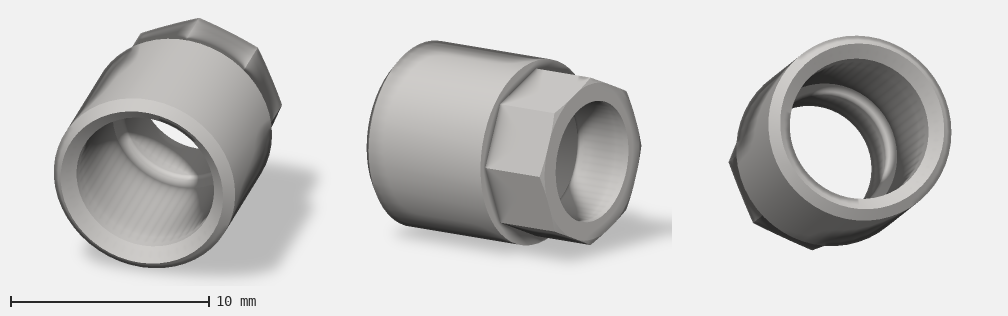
import cadquery as cq
import math

length = 11.0
body_diameter = 9.5
body_length = 7.5
body_chamfer = 0.5

head_sides = 8
head_across_flats = 8.02
head_corner_diameter = head_across_flats / math.cos(math.pi / head_sides)
head_chamfer_depth = 0.1
head_chamfer_angle = 18.0

bore_diameter = 6.2
counterbore_diameter = 7.2
counterbore_depth = body_length
shoulder_angle = 60.0
shoulder_round = 0.31
mouth_angle = 45.0


def revolve_about_y(points):
    """Revolve a closed (radius, y) outline about the Y axis."""
    return cq.Workplane("XY").polyline(points).close().revolve(360, (0, 0, 0), (0, 1, 0))


def make_body():
    radius = body_diameter / 2
    return revolve_about_y([
        (0, 0),
        (radius - body_chamfer, 0),
        (radius, body_chamfer),
        (radius, body_length),
        (0, body_length),
    ])


def make_head():
    octagon = (
        cq.Workplane("XZ", origin=(0, length, 0))
        .polygon(head_sides, head_corner_diameter)
        .extrude(length - body_length)
    )
    corner_radius = head_corner_diameter / 2
    chamfer_width = head_chamfer_depth / math.tan(math.radians(head_chamfer_angle))
    envelope = revolve_about_y([
        (0, body_length),
        (corner_radius, body_length),
        (corner_radius, length - head_chamfer_depth),
        (corner_radius - chamfer_width, length),
        (0, length),
    ])
    return octagon.intersect(envelope)


def make_bore():
    mouth_radius = body_diameter / 2 - body_chamfer
    counterbore_radius = counterbore_diameter / 2
    mouth_depth = (mouth_radius - counterbore_radius) / math.tan(math.radians(mouth_angle))

    bore_radius = bore_diameter / 2
    angle = math.radians(shoulder_angle)
    round_center_radius = bore_radius + shoulder_round
    round_start_radius = round_center_radius - shoulder_round * math.cos(angle)
    round_start_y = counterbore_depth + (counterbore_radius - round_start_radius) / math.tan(angle)
    round_end_y = round_start_y + shoulder_round * math.sin(angle)
    round_middle = (
        round_center_radius - shoulder_round * math.cos(angle / 2),
        round_end_y - shoulder_round * math.sin(angle / 2),
    )
    return (
        cq.Workplane("XY")
        .lineTo(mouth_radius, 0)
        .lineTo(counterbore_radius, mouth_depth)
        .lineTo(counterbore_radius, counterbore_depth)
        .lineTo(round_start_radius, round_start_y)
        .threePointArc(round_middle, (bore_radius, round_end_y))
        .lineTo(bore_radius, length)
        .lineTo(0, length)
        .close()
        .revolve(360, (0, 0, 0), (0, 1, 0))
    )


result = make_body().union(make_head()).cut(make_bore())